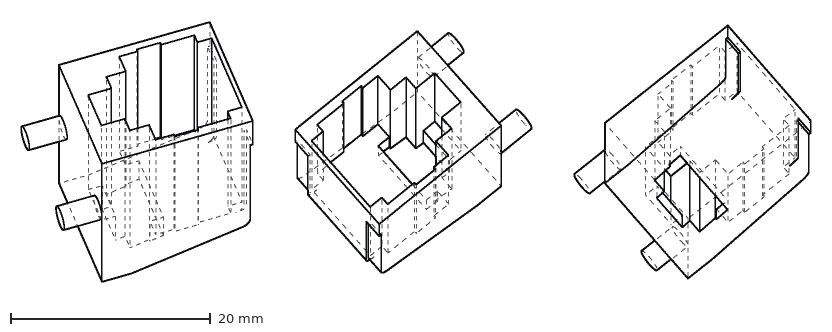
import cadquery as cq

WIDTH = 13.0
DEPTH = 16.0
HEIGHT = 20.0
FLAT_BASE_DEPTH = 3.12
SLOPE_RISE = 2.75
BACK_ROUNDING = 1.1
PANEL_ROUNDING = 0.6

RECESS_DEPTH = 0.25
RECESS_TOP = 16.0
RECESS_WIDTH = 1.95

CAVITY_FLOOR = 4.0
BACK_NOTCH_HALF_WIDTH = 4.55
MAIN_HALF_WIDTH = 5.45
SIDE_GROOVE_HALF_WIDTH = 5.72
MIDDLE_HALF_WIDTH = 3.52
LATCH_HALF_WIDTH = 2.0
CAVITY_BACK = 15.52
MAIN_BACK = 14.0
SIDE_GROOVE_BACK = 10.5
SIDE_GROOVE_FRONT = 8.0
MAIN_FRONT = 6.05
MIDDLE_FRONT = 4.0
LATCH_FRONT = 1.52

OPENING_HALF_WIDTH = 3.7
OPENING_FRONT = 3.0
OPENING_BACK = 7.48
LATCH_RAMP_RISE = 0.08

PIN_DIAMETER = 2.5
PIN_LENGTH = 4.0
PIN_HEIGHT = 11.0


def centered_box(half_width, y_front, y_back, z_bottom, z_top):
    """Box that is symmetric about the plane X = 0."""
    box = cq.Workplane("XY").box(2 * half_width, y_back - y_front, z_top - z_bottom,
                                 centered=(True, False, False))
    return box.translate((0, y_front, z_bottom))


def housing_slab(width, depth, rounding):
    """Housing side profile with a sloped underside, extruded symmetrically in X."""
    slope = SLOPE_RISE / (DEPTH - FLAT_BASE_DEPTH)
    back_bottom = slope * (depth - FLAT_BASE_DEPTH)
    profile = [
        (0, 0),
        (FLAT_BASE_DEPTH, 0),
        (depth, back_bottom),
        (depth, HEIGHT),
        (0, HEIGHT),
    ]
    slab = cq.Workplane("YZ").polyline(profile).close().extrude(width / 2, both=True)
    return slab.faces(">Y").edges("<Z").fillet(rounding)


def housing():
    recessed_body = housing_slab(WIDTH, DEPTH - RECESS_DEPTH, BACK_ROUNDING)
    back_panel = housing_slab(WIDTH - 2 * RECESS_WIDTH, DEPTH, PANEL_ROUNDING)
    upper_body = centered_box(WIDTH / 2, 0, DEPTH, RECESS_TOP, HEIGHT)
    return recessed_body.union(back_panel).union(upper_body)


def plug_cavity():
    steps = [
        (BACK_NOTCH_HALF_WIDTH, MAIN_FRONT, CAVITY_BACK),
        (MAIN_HALF_WIDTH, MAIN_FRONT, MAIN_BACK),
        (SIDE_GROOVE_HALF_WIDTH, SIDE_GROOVE_FRONT, SIDE_GROOVE_BACK),
        (MIDDLE_HALF_WIDTH, MIDDLE_FRONT, MAIN_BACK),
    ]
    cavity = latch_channel()
    for half_width, y_front, y_back in steps:
        cavity = cavity.union(centered_box(half_width, y_front, y_back, CAVITY_FLOOR, HEIGHT))
    return cavity


def latch_channel():
    """Narrow channel for the plug latch, with a gently ramped ledge as its floor."""
    profile = [
        (LATCH_FRONT, CAVITY_FLOOR + LATCH_RAMP_RISE),
        (OPENING_FRONT, CAVITY_FLOOR),
        (MAIN_FRONT, CAVITY_FLOOR),
        (MAIN_FRONT, HEIGHT),
        (LATCH_FRONT, HEIGHT),
    ]
    return cq.Workplane("YZ").polyline(profile).close().extrude(LATCH_HALF_WIDTH, both=True)


def floor_opening():
    """Through opening that follows the cavity steps below the main pocket."""
    wide = centered_box(OPENING_HALF_WIDTH, MAIN_FRONT, OPENING_BACK, 0, HEIGHT)
    middle = centered_box(MIDDLE_HALF_WIDTH, MIDDLE_FRONT, OPENING_BACK, 0, HEIGHT)
    latch = centered_box(LATCH_HALF_WIDTH, OPENING_FRONT, OPENING_BACK, 0, HEIGHT)
    return wide.union(middle).union(latch)


def mounting_pins():
    pin_offset = (WIDTH - PIN_DIAMETER) / 2
    return (
        cq.Workplane("XZ")
        .pushPoints([(-pin_offset, PIN_HEIGHT), (pin_offset, PIN_HEIGHT)])
        .circle(PIN_DIAMETER / 2)
        .extrude(PIN_LENGTH)
    )


result = housing().cut(plug_cavity()).cut(floor_opening()).union(mounting_pins())